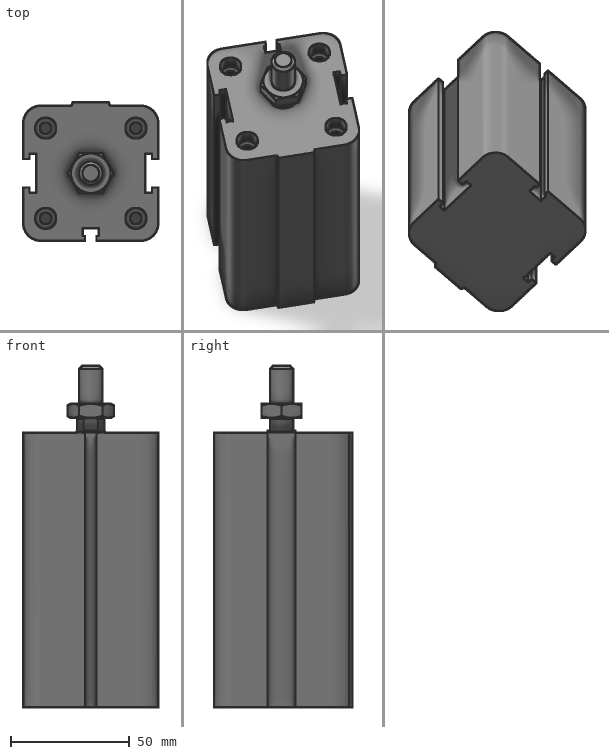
import cadquery as cq
import math


TOTAL_HEIGHT = 144.0

HOUSING_WIDTH = 57.0
HOUSING_HEIGHT = 115.8
CORNER_RADIUS = 7.5

KEY_HEIGHT = 1.5
KEY_BASE_WIDTH = 16.3
KEY_TOP_WIDTH = 15.1

SIDE_MOUTH_WIDTH = 12.0
SIDE_SLOT_WIDTH = 16.3
SIDE_LIP = 2.7
SIDE_SLOT_DEPTH = 5.5
FRONT_MOUTH_WIDTH = 4.8
FRONT_SLOT_WIDTH = 6.6
FRONT_LIP = 2.2
FRONT_SLOT_DEPTH = 5.3

HOLE_SPACING = 38.0
HOLE_DIAMETER = 4.9
COUNTERBORE_DIAMETER = 9.0
COUNTERBORE_DEPTH = 7.2
HOLE_DEPTH = 14.7

COLLAR_DIAMETER = 12.0
COLLAR_HEIGHT = 0.6
SHANK_DIAMETER = 11.7
SHOULDER_CHAMFER = 0.5
THREAD_DIAMETER = 10.0
FLATS_BOTTOM = 116.8
WRENCH_FLATS = THREAD_DIAMETER
TIP_CHAMFER = 1.5

NUT_BOTTOM = 122.0
NUT_THICKNESS = 6.0
NUT_ACROSS_FLATS = 17.0
NUT_FACE_DIAMETER = 16.7
NUT_BEVEL_ANGLE = 30.0
HEXAGON_SIDES = 6


def t_slot(mouth_width, slot_width, lip, depth):
    """T-slot cut into the front (-Y) face over the full housing height."""
    face_y = -HOUSING_WIDTH / 2
    floor_y = face_y + depth
    lip_y = face_y + lip
    mouth = cq.Workplane("XY").rect(mouth_width, 2 * lip).extrude(HOUSING_HEIGHT)
    mouth = mouth.translate((0, face_y, 0))
    space = cq.Workplane("XY").rect(slot_width, depth - lip).extrude(HOUSING_HEIGHT)
    space = space.translate((0, (floor_y + lip_y) / 2, 0))
    return mouth.union(space)


def back_key():
    """Raised key with sloping flanks, running up the back face."""
    back_y = HOUSING_WIDTH / 2
    half_base = KEY_BASE_WIDTH / 2
    half_top = KEY_TOP_WIDTH / 2
    outline = [
        (-half_base, 0),
        (-half_base, back_y),
        (-half_top, back_y + KEY_HEIGHT),
        (half_top, back_y + KEY_HEIGHT),
        (half_base, back_y),
        (half_base, 0),
    ]
    return cq.Workplane("XY").polyline(outline).close().extrude(HOUSING_HEIGHT)


def build_housing():
    block = cq.Workplane("XY").rect(HOUSING_WIDTH, HOUSING_WIDTH).extrude(HOUSING_HEIGHT)
    block = block.edges("|Z").fillet(CORNER_RADIUS)
    block = block.union(back_key())

    block = block.cut(t_slot(FRONT_MOUTH_WIDTH, FRONT_SLOT_WIDTH, FRONT_LIP, FRONT_SLOT_DEPTH))
    side_slot = t_slot(SIDE_MOUTH_WIDTH, SIDE_SLOT_WIDTH, SIDE_LIP, SIDE_SLOT_DEPTH)
    for angle in (90, -90):
        block = block.cut(side_slot.rotate((0, 0, 0), (0, 0, 1), angle))

    top = block.faces(">Z").workplane(origin=(0, 0, HOUSING_HEIGHT))
    return top.rect(HOLE_SPACING, HOLE_SPACING, forConstruction=True).vertices().cboreHole(
        HOLE_DIAMETER, COUNTERBORE_DIAMETER, COUNTERBORE_DEPTH, HOLE_DEPTH
    )


def rod_section(diameter, bottom, top):
    """Plain cylinder on the rod axis between two heights."""
    return cq.Workplane("XY").workplane(offset=bottom).circle(diameter / 2).extrude(top - bottom)


def build_rod():
    collar_top = HOUSING_HEIGHT + COLLAR_HEIGHT
    collar = rod_section(COLLAR_DIAMETER, HOUSING_HEIGHT, collar_top)

    shank = rod_section(SHANK_DIAMETER, collar_top, NUT_BOTTOM)
    shank = shank.faces(">Z").chamfer(SHOULDER_CHAMFER)
    outside_flats = (
        cq.Workplane("XY")
        .workplane(offset=FLATS_BOTTOM)
        .rect(2 * SHANK_DIAMETER, 2 * SHANK_DIAMETER)
        .rect(2 * SHANK_DIAMETER, WRENCH_FLATS)
        .extrude(NUT_BOTTOM - FLATS_BOTTOM)
    )
    shank = shank.cut(outside_flats)

    thread = rod_section(THREAD_DIAMETER, NUT_BOTTOM, TOTAL_HEIGHT)
    thread = thread.faces(">Z").chamfer(TIP_CHAMFER)
    return collar.union(shank).union(thread)


def build_nut():
    across_corners = NUT_ACROSS_FLATS / math.cos(math.pi / HEXAGON_SIDES)
    hexagon = (
        cq.Workplane("XY")
        .workplane(offset=NUT_BOTTOM)
        .polygon(HEXAGON_SIDES, across_corners)
        .circle(THREAD_DIAMETER / 2)
        .extrude(NUT_THICKNESS)
    )

    face_radius = NUT_FACE_DIAMETER / 2
    corner_radius = across_corners / 2
    bevel = (corner_radius - face_radius) * math.tan(math.radians(NUT_BEVEL_ANGLE))
    nut_top = NUT_BOTTOM + NUT_THICKNESS
    profile = [
        (0, NUT_BOTTOM),
        (face_radius, NUT_BOTTOM),
        (corner_radius, NUT_BOTTOM + bevel),
        (corner_radius, nut_top - bevel),
        (face_radius, nut_top),
        (0, nut_top),
    ]
    turned = cq.Workplane("XZ").polyline(profile).close().revolve(360, (0, 0, 0), (0, 1, 0))
    return hexagon.intersect(turned)


housing = build_housing()
rod = build_rod()
nut = build_nut()

result = cq.Compound.makeCompound([housing.val(), rod.val(), nut.val()])